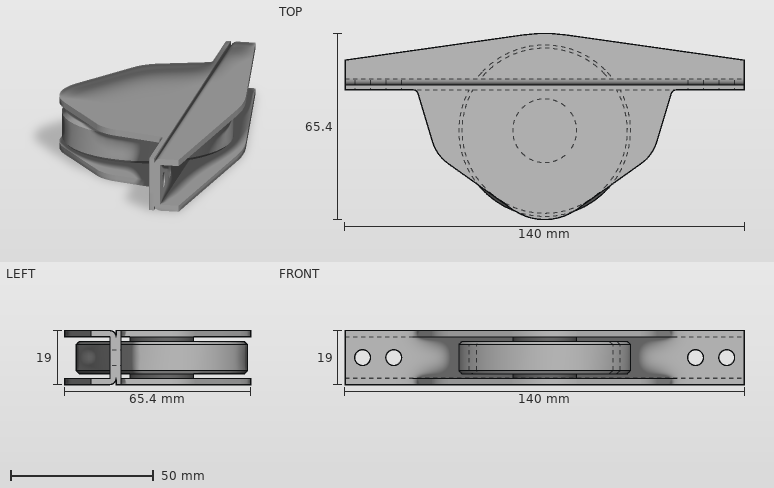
import cadquery as cq
import math

LENGTH = 140.0
HEIGHT = 19.0
FLANGE_THICKNESS = 2.2

JOINT_Y = 16.0
FRONT_WEB_THICKNESS = 1.7
REAR_WEB_THICKNESS = 2.2
FRONT_FACE_Y = JOINT_Y - FRONT_WEB_THICKNESS
REAR_FACE_Y = JOINT_Y + REAR_WEB_THICKNESS
BEND_RADIUS = 2.4

REAR_PEAK_Y = 34.2
REAR_PEAK_RADIUS = 53.2
REAR_END_Y = 24.8
REAR_SLOPE = math.radians(8.2)

NOSE_Y = -31.2
NOSE_RADIUS = 19.3
NOSE_SLOPE = math.radians(35.4)
ROOT_HALF_WIDTH = 44.8
SHOULDER_HALF_WIDTH = 38.0
SHOULDER_RADIUS = 14.7
ROOT_RADIUS = 1.8

WHEEL_DIAMETER = 60.2
WHEEL_WIDTH = 11.3
WHEEL_CHAMFER = 1.1
HUB_DIAMETER = 22.4

HOLE_DIAMETER = 5.5
HOLE_X = (52.9, 63.8)


def rear_channel():
    half_length = LENGTH / 2
    tangent_x = REAR_PEAK_RADIUS * math.sin(REAR_SLOPE)
    tangent_y = REAR_PEAK_Y - REAR_PEAK_RADIUS * (1 - math.cos(REAR_SLOPE))
    body = (
        cq.Workplane("XY")
        .workplane(offset=-HEIGHT / 2)
        .moveTo(-half_length, JOINT_Y)
        .lineTo(half_length, JOINT_Y)
        .lineTo(half_length, REAR_END_Y)
        .lineTo(tangent_x, tangent_y)
        .threePointArc((0, REAR_PEAK_Y), (-tangent_x, tangent_y))
        .lineTo(-half_length, REAR_END_Y)
        .close()
        .extrude(HEIGHT)
    )
    body = body.faces("<Y").edges("|X").fillet(BEND_RADIUS)
    return body.cut(flange_gap(REAR_FACE_Y, REAR_PEAK_Y))


def front_channel():
    apex_y = NOSE_Y - NOSE_RADIUS * (1 / math.cos(NOSE_SLOPE) - 1)
    shoulder_y = apex_y + SHOULDER_HALF_WIDTH * math.tan(NOSE_SLOPE)
    half_length = LENGTH / 2
    body = (
        cq.Workplane("XY")
        .workplane(offset=-HEIGHT / 2)
        .polyline([
            (-half_length, JOINT_Y),
            (-half_length, FRONT_FACE_Y),
            (-ROOT_HALF_WIDTH, FRONT_FACE_Y),
            (-SHOULDER_HALF_WIDTH, shoulder_y),
            (0, apex_y),
            (SHOULDER_HALF_WIDTH, shoulder_y),
            (ROOT_HALF_WIDTH, FRONT_FACE_Y),
            (half_length, FRONT_FACE_Y),
            (half_length, JOINT_Y),
        ])
        .close()
        .extrude(HEIGHT)
    )
    corners = (
        (0, apex_y, NOSE_RADIUS),
        (SHOULDER_HALF_WIDTH, shoulder_y, SHOULDER_RADIUS),
        (ROOT_HALF_WIDTH, FRONT_FACE_Y, ROOT_RADIUS),
    )
    for x, y, radius in corners:
        for side in {x, -x}:
            corner = cq.selectors.NearestToPointSelector((side, y, 0))
            body = body.edges("|Z").edges(corner).fillet(radius)
    return body.cut(flange_gap(apex_y, FRONT_FACE_Y))


def flange_gap(y_start, y_end):
    gap_height = HEIGHT - 2 * FLANGE_THICKNESS
    return (
        cq.Workplane("XY")
        .box(LENGTH, y_end - y_start, gap_height)
        .translate((0, (y_start + y_end) / 2, 0))
    )


def wheel():
    rim = (
        cq.Workplane("XY")
        .circle(WHEEL_DIAMETER / 2)
        .extrude(WHEEL_WIDTH / 2, both=True)
        .edges()
        .chamfer(WHEEL_CHAMFER)
    )
    hub_half_height = HEIGHT / 2 - FLANGE_THICKNESS
    hub = cq.Workplane("XY").circle(HUB_DIAMETER / 2).extrude(hub_half_height, both=True)
    return rim.union(hub)


def mounting_holes():
    centers = [(side * x, 0) for side in (-1, 1) for x in HOLE_X]
    return (
        cq.Workplane("XZ", origin=(0, REAR_FACE_Y, 0))
        .pushPoints(centers)
        .circle(HOLE_DIAMETER / 2)
        .extrude(REAR_FACE_Y - FRONT_FACE_Y)
    )


channels = rear_channel().union(front_channel()).cut(mounting_holes())
result = channels.union(wheel())